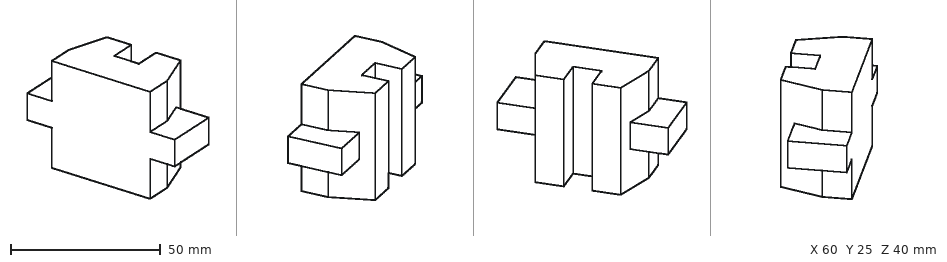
import cadquery as cq

body_width = 40.0
body_depth = 25.0
body_height = 40.0
straight_depth = 10.0
back_width = 30.0

slot_width = 10.0
slot_depth = 10.0

bar_length = 60.0
bar_depth = 20.0
bar_height = 10.0


def make_body():
    """Block with its front face on Y = 0 and its sides tapering to the back."""
    half_front = body_width / 2
    half_back = back_width / 2
    outline = [
        (-half_front, 0),
        (half_front, 0),
        (half_front, straight_depth),
        (half_back, body_depth),
        (-half_back, body_depth),
        (-half_front, straight_depth),
    ]
    return cq.Workplane("XY").polyline(outline).close().extrude(body_height / 2, both=True)


def make_bar():
    """Crossbar at mid height, flush with the front face."""
    return cq.Workplane("XY").box(bar_length, bar_depth, bar_height).translate((0, bar_depth / 2, 0))


def make_slot():
    """Cutter for the slot, open at the back, top and bottom."""
    slot_center_y = body_depth - slot_depth / 2
    return cq.Workplane("XY").box(slot_width, slot_depth, body_height).translate((0, slot_center_y, 0))


result = make_body().union(make_bar()).cut(make_slot())